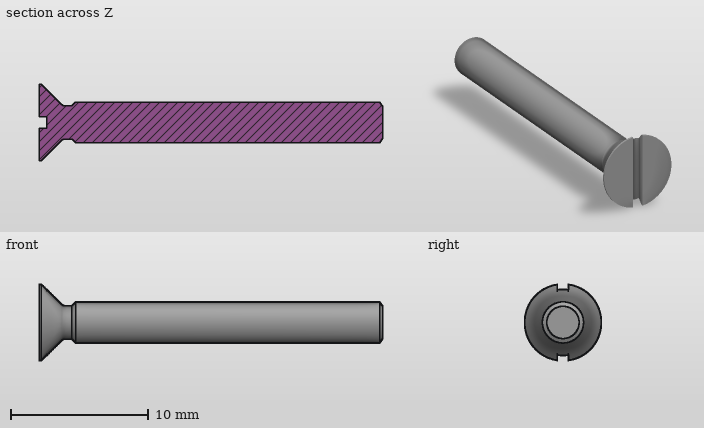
import cadquery as cq
import math

total_length = 25.0
shank_diameter = 3.0
core_diameter = 2.45

head_diameter = 5.6
rim_thickness = 0.165
head_cone_angle = 90.0
neck_fillet_radius = 0.32
shank_start = 2.65

tip_diameter = 2.35
tip_chamfer_length = 0.225

slot_width = 0.8
slot_depth = 0.55

shank_radius = shank_diameter / 2
core_radius = core_diameter / 2
head_radius = head_diameter / 2
neck_chamfer = shank_radius - core_radius


def make_body():
    """Revolve the half outline of head, neck and shank about the X axis."""
    half_angle = math.radians(head_cone_angle / 2)
    cone_length = (head_radius - core_radius) / math.tan(half_angle)
    cone_corner = rim_thickness + cone_length
    tangent_length = neck_fillet_radius * math.tan(half_angle / 2)

    fillet_start = (
        cone_corner - tangent_length * math.cos(half_angle),
        core_radius + tangent_length * math.sin(half_angle),
    )
    fillet_end_x = cone_corner + tangent_length
    fillet_middle = (
        fillet_end_x - neck_fillet_radius * math.sin(half_angle / 2),
        core_radius + neck_fillet_radius * (1 - math.cos(half_angle / 2)),
    )

    outline = (
        cq.Workplane("XY")
        .lineTo(0, head_radius)
        .lineTo(rim_thickness, head_radius)
        .lineTo(*fillet_start)
        .threePointArc(fillet_middle, (fillet_end_x, core_radius))
        .lineTo(shank_start - neck_chamfer, core_radius)
        .lineTo(shank_start, shank_radius)
        .lineTo(total_length - tip_chamfer_length, shank_radius)
        .lineTo(total_length, tip_diameter / 2)
        .lineTo(total_length, 0)
        .close()
    )
    return outline.revolve(360, (0, 0, 0), (1, 0, 0))


def make_slot():
    """Driver slot running along Z across the whole head face."""
    return cq.Workplane("XY").box(
        slot_depth, slot_width, head_diameter, centered=(False, True, True)
    )


result = make_body().cut(make_slot())